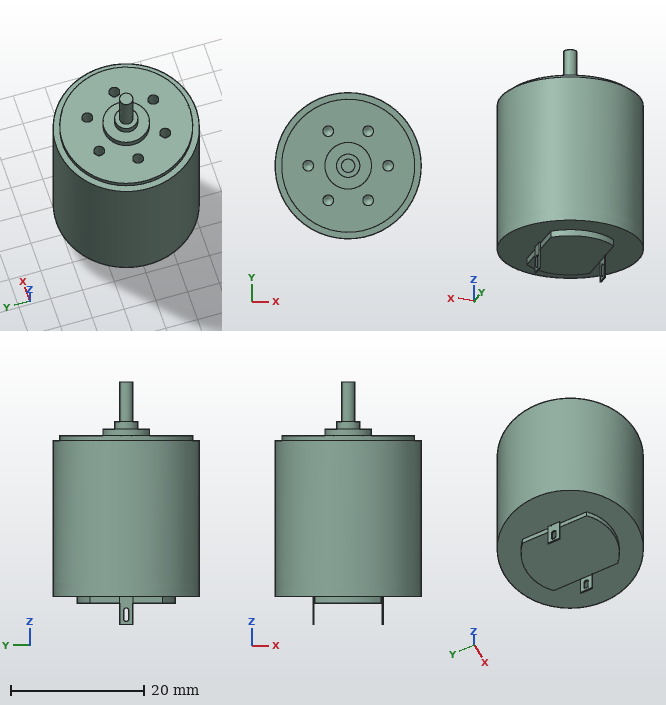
import cadquery as cq
import math

can_diameter = 22.0
lower_seam_height = 0.6
upper_seam_height = 2.0
can_height = 23.45

front_plate_diameter = 20.0
front_plate_top = 24.2
bearing_boss_diameter = 7.0
bearing_boss_top = 25.2
collar_diameter = 3.5
collar_top = 26.3
shaft_diameter = 2.0
shaft_top = 32.3

hole_count = 6
hole_diameter = 1.6
hole_circle_radius = 6.0
hole_depth = 3.0
drill_point_angle = 118.0

pad_diameter = 14.8
pad_flat_width = 10.0
pad_thickness = 1.0

terminal_length = 4.2
terminal_width = 2.0
terminal_thickness = 0.2
terminal_offset = 5.2
slot_length = 2.0
slot_width = 0.7
slot_end_margin = 0.5


def disc(diameter, bottom, top):
    """Coaxial cylinder between two heights."""
    return cq.Workplane("XY").workplane(offset=bottom).circle(diameter / 2).extrude(top - bottom)


def stepped_body():
    """Can, front end and shaft stacked along Z, keeping the seam edges on the can."""
    sections = [
        (can_diameter, lower_seam_height),
        (can_diameter, upper_seam_height),
        (can_diameter, can_height),
        (front_plate_diameter, front_plate_top),
        (bearing_boss_diameter, bearing_boss_top),
        (collar_diameter, collar_top),
        (shaft_diameter, shaft_top),
    ]
    body = cq.Workplane("XY")
    bottom = 0.0
    for diameter, top in sections:
        body = body.union(disc(diameter, bottom, top), clean=False)
        bottom = top
    return body


def mounting_holes():
    """Ring of drilled holes, each revolved from half of its cross-section."""
    radius = hole_diameter / 2
    point_depth = radius / math.tan(math.radians(drill_point_angle / 2))
    hole = (
        cq.Workplane("XZ")
        .polyline([
            (0, front_plate_top),
            (radius, front_plate_top),
            (radius, front_plate_top - hole_depth),
            (0, front_plate_top - hole_depth - point_depth),
        ])
        .close()
        .revolve(360, (0, 0, 0), (0, 1, 0))
        .translate((hole_circle_radius, 0, 0))
    )
    holes = cq.Workplane("XY")
    for index in range(hole_count):
        holes = holes.add(hole.rotate((0, 0, 0), (0, 0, 1), index * 360 / hole_count))
    return holes.combine()


def rear_pad():
    """Disc with flats on the -X and +X sides."""
    flats = cq.Workplane("XY").box(pad_flat_width, pad_diameter, 2 * pad_thickness)
    return disc(pad_diameter, -pad_thickness, 0).intersect(flats)


def terminal(side):
    """Thin slotted tab hanging below the can on the given X side (-1 or +1)."""
    slot_centre = -terminal_length + slot_end_margin + slot_length / 2
    slot = cq.Workplane("YZ").center(0, slot_centre).slot2D(slot_length, slot_width, 90)
    tab = (
        cq.Workplane("YZ")
        .center(0, -terminal_length / 2)
        .rect(terminal_width, terminal_length)
        .extrude(terminal_thickness / 2, both=True)
        .cut(slot.extrude(terminal_thickness, both=True))
    )
    return tab.translate((side * terminal_offset, 0, 0))


result = stepped_body().cut(mounting_holes(), clean=False).union(rear_pad(), clean=False)
for side in (-1, 1):
    result = result.union(terminal(side), clean=False)